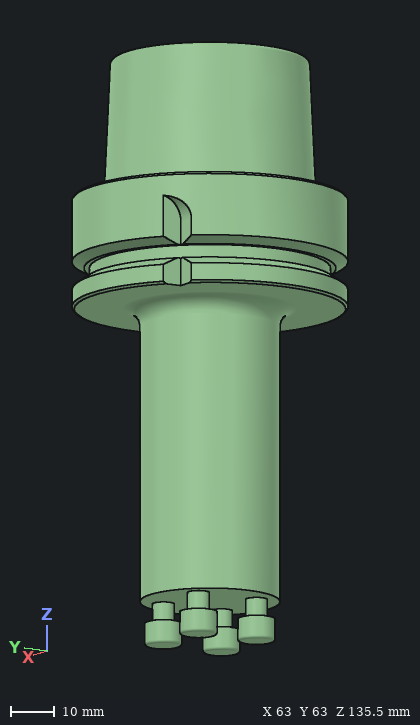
import cadquery as cq

total_height = 135.5
screw_head_top = 5.3
shank_bottom = 9.8
flange_bottom = 77.8
lower_rim_top = 82.2
groove_bottom = 84.1
groove_top = 87.3
upper_rim_bottom = 88.7
flange_top = 103.5

flange_radius = 63.0 / 2
groove_radius = 55.0 / 2
groove_lip_radius = 28.7
shank_radius = 32.0 / 2
shank_fillet = 4.0
taper_base_radius = 24.3
taper_top_radius = 22.8
taper_fillet = 1.1
rim_chamfer = 0.5

notch_floor = 19.9
notch_wall = 19.8
notch_radius = 5.7
notch_arc_center = 92.7

screw_spacing = 15.5
screw_diameter = 5.0
screw_head_diameter = 8.5
screw_head_fillet = 0.7


def make_body():
    """Revolve the shank, grooved flange and taper about Z."""
    profile = (
        cq.Workplane("XZ")
        .moveTo(0, shank_bottom)
        .lineTo(shank_radius, shank_bottom)
        .lineTo(shank_radius, flange_bottom - shank_fillet)
        .radiusArc((shank_radius + shank_fillet, flange_bottom), shank_fillet)
        .lineTo(flange_radius - rim_chamfer, flange_bottom)
        .lineTo(flange_radius, flange_bottom + rim_chamfer)
        .lineTo(flange_radius, lower_rim_top)
        .lineTo(groove_lip_radius, groove_bottom)
        .lineTo(groove_radius, groove_bottom)
        .lineTo(groove_radius, groove_top)
        .lineTo(groove_lip_radius, groove_top)
        .lineTo(flange_radius, upper_rim_bottom)
        .lineTo(flange_radius, flange_top - rim_chamfer)
        .lineTo(flange_radius - rim_chamfer, flange_top)
        .lineTo(taper_base_radius, flange_top)
        .lineTo(taper_top_radius, total_height)
        .lineTo(0, total_height)
        .close()
    )
    body = profile.revolve(360, (0, 0, 0), (0, 1, 0))
    return body.faces(">Z").edges().fillet(taper_fillet)


def make_notch():
    """Milled recess with a flat floor facing -X and a wall facing +Y."""
    slot_center = notch_wall + notch_radius
    slot_height = notch_arc_center - flange_bottom
    depth = flange_radius - notch_floor
    plane = cq.Workplane("YZ", origin=(-flange_radius, slot_center, notch_arc_center))
    slot = plane.center(0, -slot_height / 2).rect(2 * notch_radius, slot_height).extrude(depth)
    rounded_end = plane.circle(notch_radius).extrude(depth)
    return slot.union(rounded_end)


def make_screws():
    """Cap screws hanging from the shank's lower face."""
    heads = (
        cq.Workplane("XY")
        .rect(screw_spacing, screw_spacing, forConstruction=True)
        .vertices()
        .circle(screw_head_diameter / 2)
        .extrude(screw_head_top)
        .faces("<Z")
        .edges()
        .fillet(screw_head_fillet)
    )
    stems = (
        cq.Workplane("XY", origin=(0, 0, screw_head_top))
        .rect(screw_spacing, screw_spacing, forConstruction=True)
        .vertices()
        .circle(screw_diameter / 2)
        .extrude(shank_bottom - screw_head_top)
    )
    return heads.union(stems)


result = make_body().cut(make_notch()).union(make_screws())